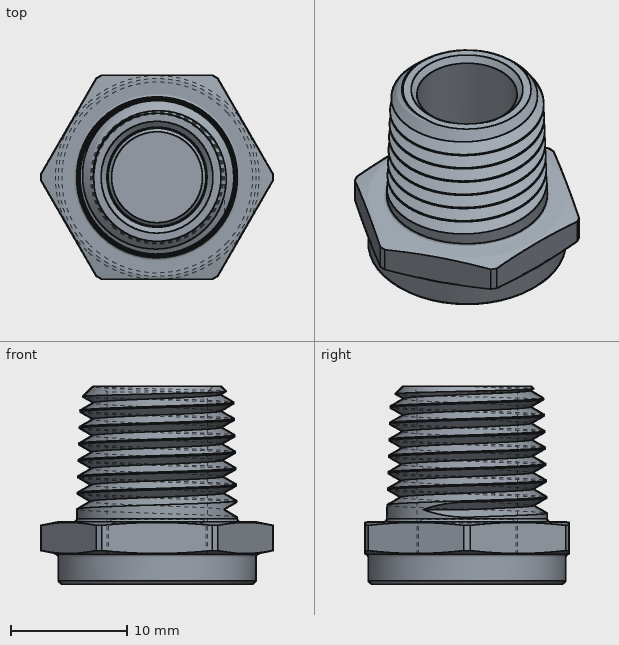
import cadquery as cq
import math

total_height = 17.02

base_radius = 8.5
base_chamfer = 0.3
base_fillet = 0.25

hex_across_flats = 17.53
hex_corner_radius = 9.965
hex_bottom = 2.6
hex_height = 2.76
hex_top = hex_bottom + hex_height
hex_chamfer_inner_radius = 8.5
hex_chamfer_height = 0.3

taper = 1 / 32
stem_base_radius = 6.91
stem_fillet = 0.25
lead_in_radius = 5.5

pitch = 25.4 / 18
thread_start = 6.42
thread_end = total_height + pitch
thread_depth = 1.12
flank_angle = math.radians(30)
cutter_overshoot = 0.04

bore_radius = 4.3
bore_chamfer = 0.5
bore_floor = hex_bottom
floor_fillet = 0.1

disc_radius = bore_radius - floor_fillet
disc_thickness = 3.0
disc_chamfer = 0.3


def stem_radius_at(z):
    return stem_base_radius - taper * (z - hex_top)


thread_root_radius = stem_radius_at(thread_start) - thread_depth
groove_outer_radius = stem_radius_at(thread_start) + cutter_overshoot


def make_base():
    """Round base with a chamfered bottom edge."""
    base = cq.Workplane("XY").circle(base_radius).extrude(hex_bottom)
    return base.faces("<Z").chamfer(base_chamfer)


def make_hexagon():
    """Hexagon with its corners rounded off and both faces bevelled towards the corners."""
    across_corners = hex_across_flats / math.cos(math.pi / 6)
    prism = (
        cq.Workplane("XY", origin=(0, 0, hex_bottom)).polygon(6, across_corners).extrude(hex_height)
    )
    envelope = (
        cq.Workplane("XZ")
        .moveTo(0, hex_bottom)
        .lineTo(hex_chamfer_inner_radius, hex_bottom)
        .lineTo(hex_corner_radius, hex_bottom + hex_chamfer_height)
        .lineTo(hex_corner_radius, hex_top - hex_chamfer_height)
        .lineTo(hex_chamfer_inner_radius, hex_top)
        .lineTo(0, hex_top)
        .close()
        .revolve()
    )
    return prism.intersect(envelope)


def fillet_ring(radius, z, size, direction):
    """Concave fillet around a cylinder, on a flat at height z; direction is the side it stands on."""
    arc_centre_x = radius + size
    arc_centre_z = z + direction * size
    offset = size * math.sqrt(0.5)
    return (
        cq.Workplane("XZ")
        .moveTo(0, z)
        .lineTo(radius + size, z)
        .threePointArc(
            (arc_centre_x - offset, arc_centre_z - direction * offset),
            (radius, arc_centre_z),
        )
        .lineTo(0, arc_centre_z)
        .close()
        .revolve()
    )


def make_stem_blank():
    """Plain tapered stem, longer than needed so that the whole thread cutter stays inside its length."""
    blank_top = thread_end + pitch
    return (
        cq.Workplane("XZ")
        .moveTo(0, hex_top)
        .lineTo(stem_base_radius, hex_top)
        .lineTo(stem_radius_at(blank_top), blank_top)
        .lineTo(0, blank_top)
        .close()
        .revolve()
    )


def make_lead_in():
    """45 degree cone down from the flat top, holding what is kept of the stem."""
    stem_height = total_height - hex_top
    return (
        cq.Workplane("XZ")
        .moveTo(0, hex_top)
        .lineTo(lead_in_radius + stem_height, hex_top)
        .lineTo(lead_in_radius, total_height)
        .lineTo(0, total_height)
        .close()
        .revolve()
    )


def make_groove_profile():
    """V section of the thread groove in the XZ plane, with its point on the thread root."""
    half_width = (groove_outer_radius - thread_root_radius) * math.tan(flank_angle)
    return (
        cq.Workplane("XZ")
        .moveTo(thread_root_radius, thread_start)
        .lineTo(groove_outer_radius, thread_start + half_width)
        .lineTo(groove_outer_radius, thread_start - half_width)
        .close()
    )


def make_thread_cutter():
    """V section swept along a tapered helix that runs out through the top of the stem."""
    helix = cq.Wire.makeHelix(
        pitch,
        thread_end - thread_start,
        thread_root_radius,
        center=cq.Vector(0, 0, thread_start),
        angle=-math.degrees(math.atan(taper)),
    )
    return make_groove_profile().sweep(cq.Workplane(helix), isFrenet=True)


def make_run_out_cutter():
    """Straight continuation of the groove, leaving the stem along -Y at the lower thread end."""
    return make_groove_profile().extrude(stem_base_radius)


def make_stem():
    """Threaded tapered stem with its lead-in."""
    threaded = make_stem_blank().cut(make_thread_cutter()).cut(make_run_out_cutter())
    return threaded.intersect(make_lead_in())


def make_bore():
    """Blind bore with a rounded floor edge and a chamfered mouth."""
    bore = (
        cq.Workplane("XY", origin=(0, 0, bore_floor))
        .circle(bore_radius)
        .extrude(total_height - bore_floor)
        .faces("<Z")
        .edges()
        .fillet(floor_fillet)
    )
    mouth = cq.Workplane(
        cq.Solid.makeCone(
            bore_radius,
            bore_radius + bore_chamfer,
            bore_chamfer,
            pnt=cq.Vector(0, 0, total_height - bore_chamfer),
        )
    )
    return bore.union(mouth)


def make_plug():
    """Hexagon plug: base, hexagon, threaded stem and bore as one solid."""
    return (
        make_base()
        .union(make_hexagon())
        .union(fillet_ring(base_radius, hex_bottom, base_fillet, -1))
        .union(make_stem())
        .union(fillet_ring(stem_base_radius, hex_top, stem_fillet, 1))
        .cut(make_bore())
    )


def make_disc():
    """Disc with a chamfered upper edge."""
    return (
        cq.Workplane("XY", origin=(0, 0, bore_floor))
        .circle(disc_radius)
        .extrude(disc_thickness)
        .faces(">Z")
        .chamfer(disc_chamfer)
    )


plug = make_plug()
disc = make_disc()

result = cq.Compound.makeCompound([plug.solids().val(), disc.solids().val()])